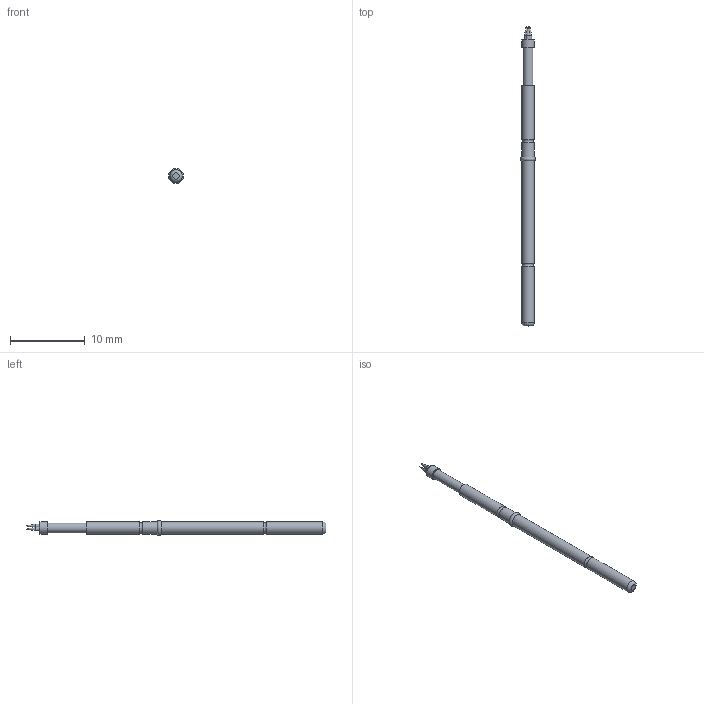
import cadquery as cq
import math

total_length = 40.0

barrel_radius = 0.83
ring_radius = 1.0
groove_radius = 0.68
neck_radius = 0.65

needle_shoulder = 1.25
head_front = 1.75
head_back = 2.9
barrel_front = 8.0
front_groove_center = 15.35
ring_center = 17.75
rear_groove_center = 31.83

groove_width = 0.42
ring_width = 0.5
tail_fillet = 0.42
head_chamfer = 0.1

needle_count = 3
needle_radius = 0.24
needle_gap = 0.005
needle_circle_radius = (needle_radius + needle_gap / 2) / math.sin(math.pi / needle_count)


def station(distance_from_tip):
    """Y position of a point given by its distance behind the needle tips."""
    return total_length - distance_from_tip


def rod(radius, start, end):
    """Cylinder on the Y axis from start to end."""
    return cq.Workplane("XZ", origin=(0, start, 0)).circle(radius).extrude(start - end)


def make_barrel():
    """Main tube with a rounded tail."""
    barrel = rod(barrel_radius, 0, station(barrel_front))
    return barrel.faces("<Y").edges().fillet(tail_fillet)


def make_groove(center):
    """Ring of material to remove for a rounded crimp groove around the barrel."""
    half_width = groove_width / 2
    profile = (
        cq.Workplane("XY")
        .moveTo(barrel_radius, center - half_width)
        .threePointArc((groove_radius, center), (barrel_radius, center + half_width))
        .close()
    )
    return profile.revolve(360, (0, 0, 0), (0, 1, 0))


def make_ring():
    """Press ring: a rounded bead on the barrel, rooted below the barrel surface."""
    center = station(ring_center)
    root_radius = barrel_radius - ring_width / 2
    half_width = ring_width / 2
    profile = (
        cq.Workplane("XY")
        .moveTo(root_radius, center - half_width)
        .lineTo(barrel_radius, center - half_width)
        .threePointArc((ring_radius, center), (barrel_radius, center + half_width))
        .lineTo(root_radius, center + half_width)
        .close()
    )
    return profile.revolve(360, (0, 0, 0), (0, 1, 0))


def make_head():
    """Collar at the front of the plunger, with its front edge broken."""
    head = rod(barrel_radius, station(head_back), station(head_front))
    return head.faces(">Y").edges().chamfer(head_chamfer)


def make_needle():
    """Pointed round needle above the axis, with its root inside the head."""
    root = station((head_front + head_back) / 2)
    shoulder = station(needle_shoulder)
    profile = (
        cq.Workplane("XY")
        .moveTo(0, root)
        .lineTo(needle_radius, root)
        .lineTo(needle_radius, shoulder)
        .lineTo(0, total_length)
        .close()
    )
    needle = profile.revolve(360, (0, 0, 0), (0, 1, 0))
    return needle.translate((0, 0, needle_circle_radius))


plunger = rod(neck_radius, station(barrel_front), station(head_back))

result = make_barrel().union(make_ring())
for groove_center in (front_groove_center, rear_groove_center):
    result = result.cut(make_groove(station(groove_center)))
result = result.union(plunger).union(make_head())
needle_pitch = 360 / needle_count
for index in range(needle_count):
    needle = make_needle().rotate((0, 0, 0), (0, 1, 0), index * needle_pitch)
    result = result.union(needle)